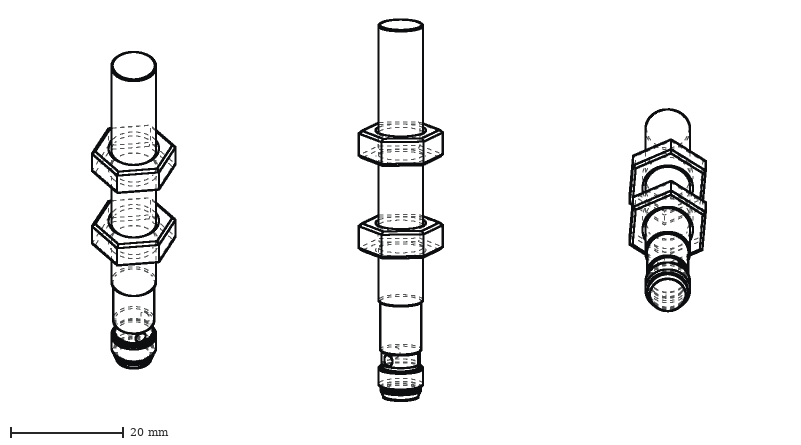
import cadquery as cq
import math

LENGTH = 68.5
SHAFT_DIAMETER = 8.0
SHAFT_CHAMFER = 0.24

SLEEVE_DIAMETER = 7.4
SLEEVE_TOP = 17.55
SLEEVE_BOTTOM = 8.7

RING_DIAMETER = 6.9
RING_TOP = 8.4
RING_BOTTOM = 6.1
WINDOW_DIAMETER = 2.0
WINDOW_HEIGHT = 7.25
WINDOW_FLOOR = 3.32
WINDOW_COUNT = 3
FIRST_WINDOW_ANGLE = 75.0

NECK_DIAMETER = 6.6
COLLAR_TOP = 5.5
COLLAR_TOP_CHAMFER = 0.3
COLLAR_BOTTOM = 1.9
COLLAR_BOTTOM_CHAMFER = 0.4
LIP_DIAMETER = 7.2
LIP_TOP = 1.5
LIP_BOTTOM = 1.15
TIP_DIAMETER = 6.4
TIP_HEIGHT = 0.2

HEX_ACROSS_FLATS = 13.0
HEX_HEIGHT = 5.0
HEX_CHAMFER = 0.5
FIXED_HEX_BOTTOM = 27.0
NUT_BOTTOM = 44.05


def make_stepped_shaft():
    """Revolve the stepped outline from the connector tip up to the sensing face."""
    shaft = SHAFT_DIAMETER / 2
    sleeve = SLEEVE_DIAMETER / 2
    ring = RING_DIAMETER / 2
    neck = NECK_DIAMETER / 2
    lip = LIP_DIAMETER / 2
    tip = TIP_DIAMETER / 2
    outline = [
        (0, 0),
        (tip, 0),
        (tip, TIP_HEIGHT),
        (lip, LIP_BOTTOM),
        (lip, LIP_TOP),
        (neck, LIP_TOP),
        (neck, COLLAR_BOTTOM),
        (shaft - COLLAR_BOTTOM_CHAMFER, COLLAR_BOTTOM),
        (shaft, COLLAR_BOTTOM + COLLAR_BOTTOM_CHAMFER),
        (shaft, COLLAR_TOP - COLLAR_TOP_CHAMFER),
        (shaft - COLLAR_TOP_CHAMFER, COLLAR_TOP),
        (neck, COLLAR_TOP),
        (neck, RING_BOTTOM),
        (ring, RING_BOTTOM),
        (ring, RING_TOP),
        (sleeve, SLEEVE_BOTTOM),
        (sleeve, SLEEVE_TOP),
        (shaft - SHAFT_CHAMFER, SLEEVE_TOP),
        (shaft, SLEEVE_TOP + SHAFT_CHAMFER),
        (shaft, LENGTH - SHAFT_CHAMFER),
        (shaft - SHAFT_CHAMFER, LENGTH),
        (0, LENGTH),
    ]
    return cq.Workplane("XZ").polyline(outline).close().revolve(360, (0, 0, 0), (0, 1, 0))


def cut_windows(body):
    """Sink the evenly spaced indicator windows into the ring."""
    window = (
        cq.Workplane("YZ", origin=(WINDOW_FLOOR, 0, WINDOW_HEIGHT))
        .circle(WINDOW_DIAMETER / 2)
        .extrude(RING_DIAMETER / 2)
    )
    for index in range(WINDOW_COUNT):
        angle = FIRST_WINDOW_ANGLE + index * 360 / WINDOW_COUNT
        body = body.cut(window.rotate((0, 0, 0), (0, 0, 1), angle))
    return body


def make_hexagon(bottom):
    """Chamfered hexagon with a bore that fits the shaft, countersunk at both ends."""
    across_corners = HEX_ACROSS_FLATS / math.cos(math.pi / 6)
    hexagon = (
        cq.Workplane("XY")
        .polygon(6, across_corners)
        .extrude(HEX_HEIGHT)
        .rotate((0, 0, 0), (0, 0, 1), 30)
        .faces("<Z or >Z")
        .chamfer(HEX_CHAMFER)
    )
    bore = cq.Workplane("XY").circle(SHAFT_DIAMETER / 2).extrude(HEX_HEIGHT)
    hexagon = hexagon.cut(bore).faces("<Z or >Z").edges("%CIRCLE").chamfer(HEX_CHAMFER)
    return hexagon.translate((0, 0, bottom))


def make_sensor():
    """Sensor housing in one piece with its lower hexagon."""
    return cut_windows(make_stepped_shaft()).union(make_hexagon(FIXED_HEX_BOTTOM))


def make_nut():
    """Loose nut on the upper part of the shaft."""
    return make_hexagon(NUT_BOTTOM)


sensor = make_sensor()
nut = make_nut()

result = cq.Compound.makeCompound([sensor.solids().val(), nut.solids().val()])